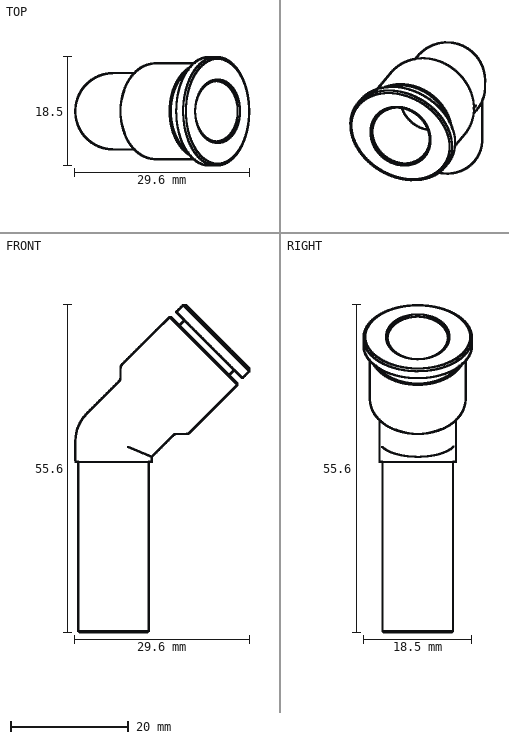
import cadquery as cq

stem_radius = 6.0
stem_chamfer = 0.3
collar_bottom = 28.95
bend_height = 32.5
pipe_radius = 6.5

bend_angle = 45
cone_start = 8.15
body_radius = 8.15
cone_end = cone_start + body_radius - pipe_radius
cone_blend = 0.8
body_end = 21.8
body_chamfer = 0.15

ring_length = 18.5
ring_width = 15.9
ring_start = 23.0
ring_end = 25.0
ring_chamfer = 0.35
neck_radius = 6.0

bore_radius = 5.1
bore_chamfer = 0.3
bore_bottom = cone_end


def make_stem():
    tube = (
        cq.Workplane("XY")
        .circle(stem_radius)
        .extrude(collar_bottom)
        .faces("<Z")
        .chamfer(stem_chamfer)
    )
    collar = (
        cq.Workplane("XY", origin=(0, 0, collar_bottom))
        .circle(pipe_radius)
        .extrude(bend_height - collar_bottom)
    )
    knuckle = cq.Workplane("XY", origin=(0, 0, bend_height)).sphere(pipe_radius)
    return tube.union(collar).union(knuckle)


def revolve_about_z(profile):
    """Solid of revolution from (radius, height) points."""
    return (
        cq.Workplane("XZ")
        .polyline(profile)
        .close()
        .revolve(360, (0, 0, 0), (0, 1, 0))
    )


def make_arm_body():
    """Pipe that widens through a blended cone into the socket body."""
    profile = [
        (0, 0),
        (pipe_radius, 0),
        (pipe_radius, cone_start),
        (body_radius, cone_end),
        (body_radius, body_end - body_chamfer),
        (body_radius - body_chamfer, body_end),
        (0, body_end),
    ]
    cone_edges = cq.selectors.BoxSelector(
        (-2 * body_radius, -2 * body_radius, cone_start - cone_blend),
        (2 * body_radius, 2 * body_radius, cone_end + cone_blend),
    )
    return revolve_about_z(profile).edges("%CIRCLE").edges(cone_edges).fillet(cone_blend)


def make_release_ring():
    neck = (
        cq.Workplane("XY", origin=(0, 0, body_end))
        .circle(neck_radius)
        .extrude(ring_start - body_end)
    )
    flange = (
        cq.Workplane("XY", origin=(0, 0, ring_start))
        .ellipse(ring_width / 2, ring_length / 2)
        .extrude(ring_end - ring_start)
        .faces(">Z")
        .chamfer(ring_chamfer)
    )
    return neck.union(flange)


def make_bore():
    mouth_radius = bore_radius + bore_chamfer
    profile = [
        (0, bore_bottom),
        (bore_radius, bore_bottom),
        (bore_radius, ring_end - bore_chamfer),
        (mouth_radius, ring_end),
        (0, ring_end),
    ]
    return revolve_about_z(profile)


arm = make_arm_body().union(make_release_ring()).cut(make_bore())
arm = arm.rotate((0, 0, 0), (0, 1, 0), bend_angle).translate((0, 0, bend_height))

result = make_stem().union(arm)